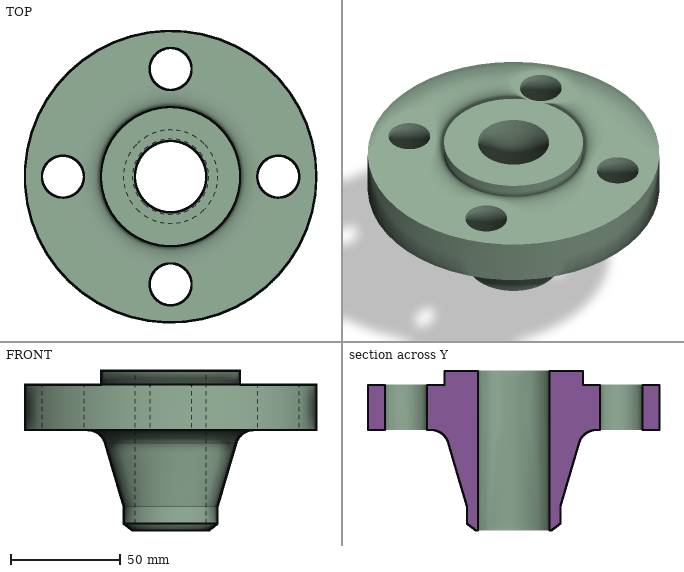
import cadquery as cq
import math

total_height = 73.1
flange_diameter = 133.4
flange_thickness = 20.8
face_diameter = 63.6
face_height = 6.4
bore_diameter = 32.5

weld_radius = 21.5
bevel_radius = 17.3
bevel_height = 3.2
taper_start = 11.1
hub_radius = 31.7
fillet_radius = 8.0

bolt_count = 4
bolt_circle_diameter = 98.4
bolt_hole_diameter = 19.1

flange_top = total_height - face_height
flange_bottom = flange_top - flange_thickness


def fillet_points():
    """Start, middle and end (r, z) of the arc joining the taper to the flange underside."""
    taper_angle = math.atan2(flange_bottom - taper_start, hub_radius - weld_radius)
    tangent_length = fillet_radius * math.tan(taper_angle / 2)
    center_r = hub_radius + tangent_length
    center_z = flange_bottom - fillet_radius

    def arc_point(angle):
        return (
            center_r - fillet_radius * math.sin(angle),
            center_z + fillet_radius * math.cos(angle),
        )

    return arc_point(taper_angle), arc_point(taper_angle / 2), arc_point(0)


def revolved_body():
    """Flange, raised face and tapered neck as one revolved profile."""
    start, middle, end = fillet_points()
    profile = (
        cq.Workplane("XZ")
        .lineTo(bevel_radius, 0)
        .lineTo(weld_radius, bevel_height)
        .lineTo(weld_radius, taper_start)
        .lineTo(*start)
        .threePointArc(middle, end)
        .lineTo(flange_diameter / 2, flange_bottom)
        .lineTo(flange_diameter / 2, flange_top)
        .lineTo(face_diameter / 2, flange_top)
        .lineTo(face_diameter / 2, total_height)
        .lineTo(0, total_height)
        .close()
    )
    return profile.revolve(360, (0, 0, 0), (0, 1, 0))


def bore():
    return cq.Workplane("XY").circle(bore_diameter / 2).extrude(total_height)


def bolt_holes():
    return (
        cq.Workplane("XY")
        .workplane(offset=flange_bottom)
        .polarArray(bolt_circle_diameter / 2, 0, 360, bolt_count)
        .circle(bolt_hole_diameter / 2)
        .extrude(flange_thickness)
    )


result = revolved_body().cut(bore()).cut(bolt_holes())